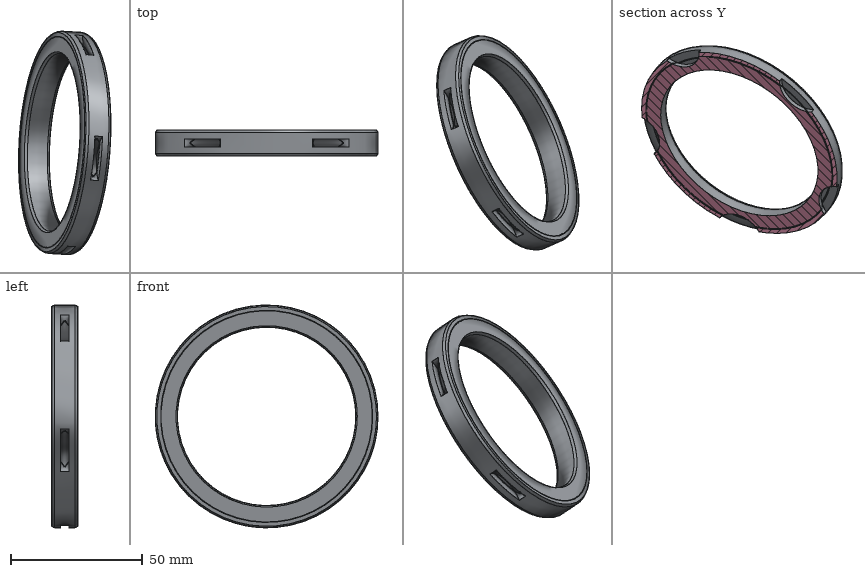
import cadquery as cq
import math

outer_radius = 42.5
bore_radius = 34.0
width = 10.0
half_width = width / 2

chamfer_axial = 1.0
chamfer_angle = 30.0
chamfer_radial = chamfer_axial * math.tan(math.radians(chamfer_angle))

joint_radius = 40.5
joint_clearance = 0.2
ridge_flat = 0.5
groove_depth = 1.7

slot_count = 5
slot_length = 17.0
slot_width = 3.1
slot_floor_radius = 10.0
first_slot_angle = 54.0


def joint_points(land_radius):
    """Joint profile (radius, y) from the -Y face to the +Y face; every groove flank is at 45 degrees."""
    ridge_half = ridge_flat / 2
    groove_y = ridge_half + groove_depth
    shoulder_y = groove_y + groove_depth
    groove_radius = land_radius - groove_depth
    lower_half = [
        (land_radius, -half_width),
        (land_radius, -shoulder_y),
        (groove_radius, -groove_y),
        (land_radius, -ridge_half),
    ]
    upper_half = [(radius, -y) for radius, y in reversed(lower_half)]
    return lower_half + upper_half


def revolve_profile(points):
    """Revolve a closed (radius, y) profile about the Y axis."""
    return cq.Workplane("XY").polyline(points).close().revolve(360, (0, 0, 0), (0, 1, 0))


def make_slot_cutters():
    """Discs lying across the rim, one per drain slot."""
    rim_height = math.sqrt(outer_radius**2 - (slot_length / 2) ** 2)
    cutter_rise = math.sqrt(slot_floor_radius**2 - (slot_length / 2) ** 2)
    cutter_distance = rim_height + cutter_rise
    disc = (
        cq.Workplane("XZ")
        .center(cutter_distance, 0)
        .circle(slot_floor_radius)
        .extrude(slot_width / 2, both=True)
    )
    cutters = []
    for index in range(slot_count):
        angle = first_slot_angle + index * 360 / slot_count
        cutters.append(disc.rotate((0, 0, 0), (0, 1, 0), -angle))
    return cutters


def cut_slots(ring):
    for cutter in make_slot_cutters():
        ring = ring.cut(cutter)
    return ring


def make_outer_ring():
    rim_side = half_width - chamfer_axial
    rim_face_radius = outer_radius - chamfer_radial
    rim = [
        (rim_face_radius, half_width),
        (outer_radius, rim_side),
        (outer_radius, -rim_side),
        (rim_face_radius, -half_width),
    ]
    return cut_slots(revolve_profile(joint_points(joint_radius) + rim))


def make_inner_ring():
    bore_side = half_width - chamfer_axial
    bore_face_radius = bore_radius + chamfer_radial
    bore = [
        (bore_face_radius, half_width),
        (bore_radius, bore_side),
        (bore_radius, -bore_side),
        (bore_face_radius, -half_width),
    ]
    return cut_slots(revolve_profile(joint_points(joint_radius - joint_clearance) + bore))


outer_ring = make_outer_ring()
inner_ring = make_inner_ring()

result = cq.Compound.makeCompound([outer_ring.val(), inner_ring.val()])